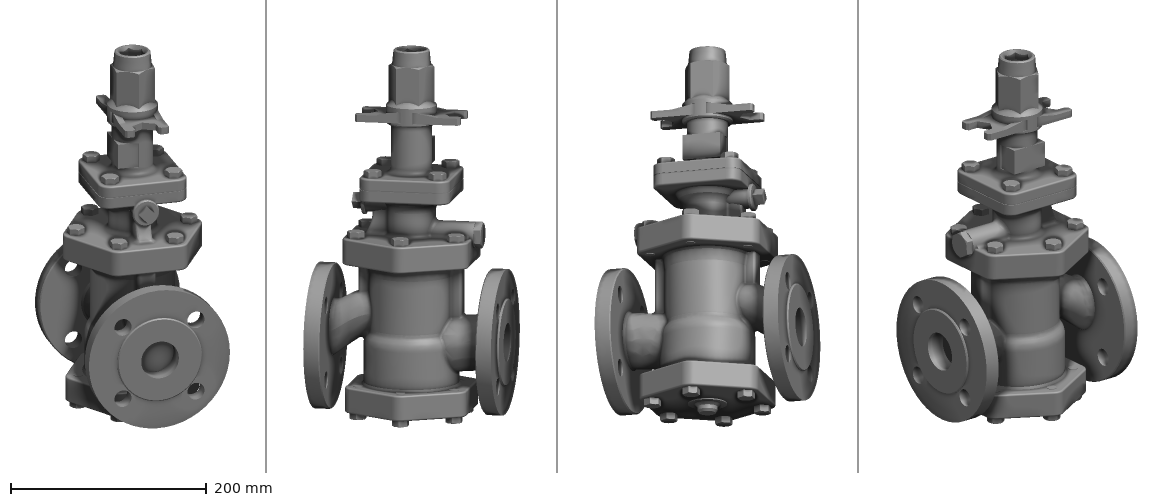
import cadquery as cq
import math


OVERLAP = 4.0

FACE_TO_FACE = 200.0
FLANGE_RADIUS = 75.0
FLANGE_BACK_X = 81.2
FLANGE_THICKNESS = 16.5
FLANGE_FACE_X = FLANGE_BACK_X + FLANGE_THICKNESS
RAISED_FACE_X = FACE_TO_FACE / 2
RAISED_FACE_RADIUS = 45.0
BORE_RADIUS = 20.0
BORE_DEPTH = 19.2
PIPE_BOLT_HOLE_DIAMETER = 18.0
PIPE_BOLT_OFFSET = 39.0
FLANGE_CHAMFER = 1.0
PIPE_OVERLAP = 2.0
INLET_RADIUS = 29.0
INLET_DROOP = 5.0
INLET_END_X = -25.0
INLET_ROOT_FLARE = 2.0
INLET_ROOT_X = -77.8

OUTLET_SECTIONS = [
    (FLANGE_BACK_X + PIPE_OVERLAP, 9.2, 26.0, 30.8),
    (76.2, 11.0, 23.5, 27.7),
    (65.5, 17.7, 23.0, 26.0),
    (52.0, 25.0, 23.0, 24.3),
    (25.0, 32.7, 23.0, 23.0),
]

BODY_RADIUS = 43.5
BODY_COLLAR_RADIUS = 45.0
BODY_BASE_RADIUS = 98.0 / 2
BODY_FLARE_BOTTOM_Z = 67.8
BODY_FLARE_TOP_Z = 79.5
BODY_STEP_TOP_Z = 12.0
BODY_STEP_BEND_Z = 6.0
BODY_STEP_BEND_RADIUS = 45.5
BODY_STEP_BOTTOM_Z = -5.8
PASSAGE_X = 54.0
PASSAGE_BOTTOM_Z = 17.5
PASSAGE_WIDTH = 19.2
PASSAGE_FILLET = 3.0
PIPE_FILLET = 3.0
PIPE_JOINT_REACH = 56.0
BARREL_HEAD_FLARE = 1.5
BARREL_FOOT_FLARE = 2.5

COVER_TOP_Z = 109.0
COVER_BOTTOM_Z = 81.5
COVER_HALF_WIDTH = 65.5
COVER_BOLT_CIRCLE = 60.0
BASE_TOP_Z = -46.2
BASE_BOTTOM_Z = -72.8
BASE_HALF_WIDTH = 63.0
BASE_BOLT_CIRCLE = 57.8
PLATE_CORNER_RADIUS = 12.5
PLATE_EDGE_FILLET = 2.0

BOLT_ACROSS_FLATS = 15.8
BOLT_HEAD_HEIGHT = 7.0
BOLT_END_RADIUS = 5.0
BOLT_END_HEIGHT = 0.58
COVER_BOLT_TURN = 0.0
BASE_BOLT_TURN = 30.0
PILOT_BOLT_TURN = 15.0

NECK_RADIUS = 25.0
NECK_FLARE_Z = 134.8
NECK_BEND_RADIUS = 29.5
NECK_BEND_Z = 143.2
NECK_TOP_RADIUS = 33.0
PILOT_BOTTOM_Z = 149.0
PILOT_JOINT_Z = 161.7
PILOT_TOP_Z = 173.5
PILOT_HALF_WIDTH = 47.0
PILOT_CORNER_RADIUS = 12.7
PILOT_BOLT_OFFSET = 34.0
JOINT_GAP = 1.0
JOINT_DEPTH = 0.8

PORT_Z = 111.0
PORT_RADIUS = 13.5
PORT_CAP_X = -67.0
PORT_END_X = -74.5
PORT_CAP_ACROSS_FLATS = 24.3
PORT_FILLET = 4.5
PORT_FILLET_START_X = -62.5
SEAT_END_X = 61.5
SEAT_HALF_WIDTH = 34.5
PLUG_Z = 142.0
PLUG_BOSS_RADIUS = 11.0
PLUG_DISC_RADIUS = 28.0 / 2
PLUG_DISC_X = 47.0
PLUG_DISC_END_X = 50.5
PLUG_END_X = 61.0
PLUG_SQUARE = 12.0
WEB_WIDTH = 17.0
WEB_FILLET = 2.7
WEB_TOP_X = 39.3
WEB_TOP_Z = 132.5
WEB_MIDDLE_X = 41.5
WEB_MIDDLE_Z = 120.0
WEB_BOTTOM_X = 47.7

STEM_RADIUS = 21.0
STEM_FOOT_FILLET = 5.8
BLOCK_BOTTOM_Z = 182.0
BLOCK_TOP_Z = 208.3
BLOCK_HALF_WIDTH = 20.0
COLLAR_BOTTOM_Z = 224.5
COLLAR_TOP_Z = 244.0
COLLAR_RADIUS = 52.0 / 2
COLLAR_CHAMFER = 1.5
COLLAR_SHOULDER_RADIUS = 20.5
COLLAR_SHOULDER_Z = 250.0
HEX_BOTTOM_Z = 244.5
HEX_TOP_Z = 286.0
HEX_ACROSS_FLATS = 41.2
HEX_BEVEL = 2.0
TIP_TOP_Z = 302.0
TIP_BASE_RADIUS = 20.0
TIP_RADIUS = 18.5
SOCKET_ACROSS_FLATS = 24.0
SOCKET_DEPTH = 10.0
SOCKET_MOUTH_RADIUS = 15.8
TIP_CHAMFER = 1.0

HANDLE_HALF_LENGTH = 54.5
HANDLE_HALF_WIDTH = 23.5
HANDLE_BOTTOM_Z = 228.3
HANDLE_TOP_Z = 235.5
HANDLE_TIP_CHAMFER = 2.5
FORK_GAP = 25.0
FORK_ROOT_X = 34.5
RIB_WIDTH = 7.0
RIB_OUTER_X = 31.5
RIB_INNER_X = 6.0
RIB_TOP_Z = 240.2

DRAIN_PAD_RADIUS = 20.0
DRAIN_PAD_BOTTOM_Z = -74.0
DRAIN_RADIUS = 10.5
DRAIN_NECK_RADIUS = 13.5
DRAIN_NECK_Z = -76.5
DRAIN_STEP_Z = -80.5
DRAIN_END_RADIUS = 8.5
DRAIN_BOTTOM_Z = -83.0


def cylinder(radius, bottom, top, x=0.0, y=0.0):
    """Upright round bar between two heights."""
    return cq.Workplane("XY", origin=(x, y, bottom)).circle(radius).extrude(top - bottom)


def bar_along_x(radius, start, end, z=0.0):
    """Round bar lying along X between two X positions."""
    return cq.Workplane("YZ", origin=(start, 0, z)).circle(radius).extrude(end - start)


def hexagon(across_flats, bottom, top):
    """Upright hexagonal bar with corners on the X axis."""
    across_corners = across_flats / math.cos(math.pi / 6)
    return cq.Workplane("XY", origin=(0, 0, bottom)).polygon(6, across_corners).extrude(top - bottom)


def box(x_min, x_max, y_min, y_max, z_min, z_max):
    """Block given by its limits."""
    size = (x_max - x_min, y_max - y_min, z_max - z_min)
    return cq.Workplane("XY").box(*size, centered=False).translate((x_min, y_min, z_min))


def spun(profile):
    """Solid of revolution about Z from a closed (radius, height) profile."""
    return cq.Workplane("XZ").polyline(profile).close().revolve(360, (0, 0, 0), (0, 1, 0))


def rounded_hexagon_head(across_flats, height):
    """Hexagonal head whose free end, at Z = height, is bevelled to a circle."""
    corner = across_flats / math.sqrt(3)
    flat = across_flats / 2
    bevel = (corner - flat) * math.tan(math.pi / 6)
    envelope = spun([(0, 0), (corner, 0), (corner, height - bevel), (flat, height), (0, height)])
    return hexagon(across_flats, 0, height).intersect(envelope)


def bolt_head(turn):
    """Bolt head standing on Z = 0, turned about its axis by the given degrees."""
    head = rounded_hexagon_head(BOLT_ACROSS_FLATS, BOLT_HEAD_HEIGHT)
    return head.rotate((0, 0, 0), (0, 0, 1), turn)


def hexagon_bolt_places(bolt_circle):
    """Six places, two of them on the Y axis."""
    angles = [math.radians(30 + 60 * i) for i in range(6)]
    return [(bolt_circle * math.cos(a), bolt_circle * math.sin(a)) for a in angles]


def hexagonal_plate(half_width, bottom, top):
    """Hexagonal flange with flats facing +X and -X and rounded corners."""
    plate = hexagon(2 * half_width, bottom, top).rotate((0, 0, 0), (0, 0, 1), 30)
    plate = plate.edges("|Z").fillet(PLATE_CORNER_RADIUS)
    return plate.faces("<Z or >Z").edges().fillet(PLATE_EDGE_FILLET)


def main_body():
    """Stepped barrel with a vertical passage on the -X and +X sides."""
    barrel = (
        cq.Workplane("XZ")
        .moveTo(0, COVER_BOTTOM_Z + OVERLAP)
        .lineTo(BODY_COLLAR_RADIUS + BARREL_HEAD_FLARE, COVER_BOTTOM_Z + OVERLAP)
        .lineTo(BODY_COLLAR_RADIUS + BARREL_HEAD_FLARE, COVER_BOTTOM_Z)
        .lineTo(BODY_COLLAR_RADIUS, BODY_FLARE_TOP_Z)
        .lineTo(BODY_RADIUS, BODY_FLARE_BOTTOM_Z)
        .lineTo(BODY_RADIUS, BODY_STEP_TOP_Z)
        .tangentArcPoint((BODY_STEP_BEND_RADIUS, BODY_STEP_BEND_Z), relative=False)
        .tangentArcPoint((BODY_BASE_RADIUS, BODY_STEP_BOTTOM_Z), relative=False)
        .lineTo(BODY_BASE_RADIUS, BASE_TOP_Z + BARREL_FOOT_FLARE)
        .lineTo(BODY_BASE_RADIUS + BARREL_FOOT_FLARE, BASE_TOP_Z)
        .lineTo(BODY_BASE_RADIUS + BARREL_FOOT_FLARE, BASE_TOP_Z - OVERLAP)
        .lineTo(0, BASE_TOP_Z - OVERLAP)
        .close()
        .revolve(360, (0, 0, 0), (0, 1, 0))
    )
    for side in (-1, 1):
        passage = box(0, PASSAGE_X, -PASSAGE_WIDTH / 2, PASSAGE_WIDTH / 2,
                      PASSAGE_BOTTOM_Z, COVER_BOTTOM_Z + OVERLAP)
        passage = passage.edges("|Z and >X").fillet(PASSAGE_FILLET)
        if side < 0:
            passage = passage.mirror("YZ")
        barrel = barrel.union(passage)
    margin = 0.5
    reach_x = BODY_COLLAR_RADIUS + BARREL_HEAD_FLARE
    reach_y = PASSAGE_WIDTH / 2 + margin
    zone = cq.selectors.BoxSelector((-reach_x, -reach_y, PASSAGE_BOTTOM_Z + margin),
                                    (reach_x, reach_y, COVER_BOTTOM_Z + OVERLAP))
    roots = barrel.edges("(not #Z) and (not |X) and (not |Y)").edges(zone)
    return roots.fillet(PASSAGE_FILLET)


def barrel_with_pipes():
    """Barrel and both pipes with the joints between them rounded."""
    joined = main_body().union(inlet_pipe()).union(outlet_pipe())
    zone = cq.selectors.BoxSelector((-PIPE_JOINT_REACH, -PIPE_JOINT_REACH, -PIPE_JOINT_REACH),
                                    (PIPE_JOINT_REACH, PIPE_JOINT_REACH, PIPE_JOINT_REACH))
    joints = joined.edges("%BSPLINE").edges(zone)
    return joints.fillet(PIPE_FILLET)


def inlet_pipe():
    """Slightly drooping round pipe from the -X flange into the barrel, with a flared root."""
    start_x = -FLANGE_BACK_X - PIPE_OVERLAP
    pipe = (
        cq.Workplane("YZ", origin=(start_x, 0, 0)).circle(INLET_RADIUS)
        .workplane(offset=INLET_END_X - start_x).center(0, -INLET_DROOP).circle(INLET_RADIUS)
        .loft()
    )
    root = (
        cq.Workplane("YZ", origin=(-FLANGE_BACK_X, 0, 0)).circle(INLET_RADIUS + INLET_ROOT_FLARE)
        .workplane(offset=INLET_ROOT_X + FLANGE_BACK_X).circle(INLET_RADIUS - INLET_ROOT_FLARE / 2)
        .loft()
    )
    return pipe.union(root)


def outlet_pipe():
    """Oval pipe rising from the +X flange into the upper barrel."""
    outlines = []
    for x, z, half_width, half_height in OUTLET_SECTIONS:
        outline = cq.Workplane("YZ", origin=(x, 0, z)).ellipse(half_width, half_height)
        outlines.append(outline.wires().val())
    return cq.Workplane(cq.Solid.makeLoft(outlines))


def pipe_flange(side):
    """Round flange with raised face, bolt holes and blind bore; side is -1 or +1 along X."""
    disc = bar_along_x(FLANGE_RADIUS, FLANGE_BACK_X, FLANGE_FACE_X)
    disc = disc.faces("<X").edges().chamfer(FLANGE_CHAMFER)
    face = bar_along_x(RAISED_FACE_RADIUS, FLANGE_FACE_X - PIPE_OVERLAP, RAISED_FACE_X)
    face = face.faces(">X").edges().chamfer(FLANGE_CHAMFER)
    flange = disc.union(face)
    for y in (-PIPE_BOLT_OFFSET, PIPE_BOLT_OFFSET):
        for z in (-PIPE_BOLT_OFFSET, PIPE_BOLT_OFFSET):
            hole = bar_along_x(PIPE_BOLT_HOLE_DIAMETER / 2, FLANGE_BACK_X - OVERLAP, RAISED_FACE_X, z)
            flange = flange.cut(hole.translate((0, y, 0)))
    return flange if side > 0 else flange.mirror("YZ")


def cover_flange():
    """Upper hexagonal flange with heads above and bolt ends below."""
    flange = hexagonal_plate(COVER_HALF_WIDTH, COVER_BOTTOM_Z, COVER_TOP_Z)
    for x, y in hexagon_bolt_places(COVER_BOLT_CIRCLE):
        flange = flange.union(bolt_head(COVER_BOLT_TURN).translate((x, y, COVER_TOP_Z)))
        end_z = COVER_BOTTOM_Z - BOLT_END_HEIGHT
        flange = flange.union(cylinder(BOLT_END_RADIUS, end_z, COVER_BOTTOM_Z + OVERLAP, x, y))
    return flange


def base_flange():
    """Lower hexagonal flange with heads below and bolt ends above, and the drain plug."""
    flange = hexagonal_plate(BASE_HALF_WIDTH, BASE_BOTTOM_Z, BASE_TOP_Z)
    for x, y in hexagon_bolt_places(BASE_BOLT_CIRCLE):
        head = bolt_head(BASE_BOLT_TURN).mirror("XY")
        flange = flange.union(head.translate((x, y, BASE_BOTTOM_Z)))
        end_z = BASE_TOP_Z + BOLT_END_HEIGHT
        flange = flange.union(cylinder(BOLT_END_RADIUS, BASE_TOP_Z - OVERLAP, end_z, x, y))
    drain = spun([
        (0, BASE_BOTTOM_Z + OVERLAP), (DRAIN_PAD_RADIUS, BASE_BOTTOM_Z + OVERLAP),
        (DRAIN_PAD_RADIUS, DRAIN_PAD_BOTTOM_Z), (DRAIN_NECK_RADIUS, DRAIN_PAD_BOTTOM_Z),
        (DRAIN_RADIUS, DRAIN_NECK_Z), (DRAIN_RADIUS, DRAIN_STEP_Z),
        (DRAIN_END_RADIUS, DRAIN_BOTTOM_Z), (0, DRAIN_BOTTOM_Z),
    ])
    return flange.union(drain)


def pilot_neck():
    """Round neck flaring into the square flange, joined to the cover by the port and the web."""
    neck = (
        cq.Workplane("XZ")
        .moveTo(0, COVER_TOP_Z - OVERLAP)
        .lineTo(NECK_RADIUS, COVER_TOP_Z - OVERLAP)
        .lineTo(NECK_RADIUS, NECK_FLARE_Z)
        .tangentArcPoint((NECK_BEND_RADIUS, NECK_BEND_Z), relative=False)
        .lineTo(NECK_TOP_RADIUS, PILOT_BOTTOM_Z)
        .lineTo(NECK_TOP_RADIUS, PILOT_BOTTOM_Z + OVERLAP)
        .lineTo(0, PILOT_BOTTOM_Z + OVERLAP)
        .close()
        .revolve(360, (0, 0, 0), (0, 1, 0))
    )
    seat = box(PORT_FILLET_START_X, SEAT_END_X, -SEAT_HALF_WIDTH, SEAT_HALF_WIDTH,
               COVER_TOP_Z - OVERLAP, COVER_TOP_Z)
    port = bar_along_x(PORT_RADIUS, PORT_FILLET_START_X, 0, PORT_Z)
    joined = neck.union(port).union(web()).union(seat)
    margin = 0.5
    crown_z = PORT_Z + PORT_RADIUS
    zone = cq.selectors.BoxSelector(
        (PORT_FILLET_START_X + margin, -SEAT_HALF_WIDTH + margin, COVER_TOP_Z - margin),
        (WEB_TOP_X - WEB_FILLET, SEAT_HALF_WIDTH - margin, crown_z + margin))
    return joined.edges(zone).fillet(PORT_FILLET)


def web():
    """Upright web carrying the plug boss, with a hollow, rounded outer edge."""
    plate = (
        cq.Workplane("XZ", origin=(0, WEB_WIDTH / 2, 0))
        .moveTo(0, COVER_TOP_Z - OVERLAP)
        .lineTo(WEB_BOTTOM_X, COVER_TOP_Z - OVERLAP)
        .lineTo(WEB_BOTTOM_X, COVER_TOP_Z)
        .threePointArc((WEB_MIDDLE_X, WEB_MIDDLE_Z), (WEB_TOP_X, WEB_TOP_Z))
        .lineTo(0, PLUG_Z)
        .close()
        .extrude(WEB_WIDTH)
    )
    return plate.edges("%CIRCLE").fillet(WEB_FILLET)


def sensing_port():
    """Round side port towards -X with a hexagonal cap, half sunk in the cover."""
    port = bar_along_x(PORT_RADIUS, PORT_CAP_X, 0, PORT_Z)
    cap = rounded_hexagon_head(PORT_CAP_ACROSS_FLATS, PORT_CAP_X - PORT_END_X)
    cap = cap.rotate((0, 0, 0), (0, 1, 0), -90).translate((PORT_CAP_X, 0, PORT_Z))
    return port.union(cap)


def plug_port():
    """Round boss towards +X closed by a square-headed plug standing on its corner."""
    boss = bar_along_x(PLUG_BOSS_RADIUS, 0, PLUG_DISC_X, PLUG_Z)
    disc = bar_along_x(PLUG_DISC_RADIUS, PLUG_DISC_X, PLUG_DISC_END_X, PLUG_Z)
    disc = disc.faces(">X").edges().chamfer(FLANGE_CHAMFER)
    plug = cq.Workplane("YZ").rect(PLUG_SQUARE, PLUG_SQUARE).extrude(PLUG_END_X)
    plug = plug.rotate((0, 0, 0), (1, 0, 0), 45).translate((0, 0, PLUG_Z))
    return boss.union(disc).union(plug)


def pilot_flange():
    """Square flange, split by a thin joint, with four bolts."""
    flange = box(-PILOT_HALF_WIDTH, PILOT_HALF_WIDTH, -PILOT_HALF_WIDTH, PILOT_HALF_WIDTH,
                 PILOT_BOTTOM_Z, PILOT_TOP_Z)
    flange = flange.edges("|Z").fillet(PILOT_CORNER_RADIUS)
    flange = flange.faces("<Z or >Z").edges().fillet(PLATE_EDGE_FILLET)
    outline = (
        cq.Workplane("XY", origin=(0, 0, PILOT_JOINT_Z - JOINT_GAP / 2))
        .rect(3 * PILOT_HALF_WIDTH, 3 * PILOT_HALF_WIDTH).extrude(JOINT_GAP)
    )
    core_width = 2 * (PILOT_HALF_WIDTH - JOINT_DEPTH)
    core = (
        cq.Workplane("XY", origin=(0, 0, PILOT_JOINT_Z - JOINT_GAP / 2))
        .rect(core_width, core_width).extrude(JOINT_GAP)
        .edges("|Z").fillet(PILOT_CORNER_RADIUS - JOINT_DEPTH)
    )
    flange = flange.cut(outline.cut(core))
    for x in (-PILOT_BOLT_OFFSET, PILOT_BOLT_OFFSET):
        for y in (-PILOT_BOLT_OFFSET, PILOT_BOLT_OFFSET):
            flange = flange.union(bolt_head(PILOT_BOLT_TURN).translate((x, y, PILOT_TOP_Z)))
    return flange


def spindle():
    """Stem with wrench block, collar, hexagon and socketed tip."""
    hex_corner = HEX_ACROSS_FLATS / math.sqrt(3)
    foot_radius = STEM_RADIUS + STEM_FOOT_FILLET
    arc_offset = STEM_FOOT_FILLET * (1 - math.sqrt(0.5))
    foot = (
        cq.Workplane("XZ")
        .moveTo(0, PILOT_TOP_Z - OVERLAP)
        .lineTo(foot_radius, PILOT_TOP_Z - OVERLAP)
        .lineTo(foot_radius, PILOT_TOP_Z)
        .threePointArc((STEM_RADIUS + arc_offset, PILOT_TOP_Z + arc_offset),
                       (STEM_RADIUS, PILOT_TOP_Z + STEM_FOOT_FILLET))
        .lineTo(0, PILOT_TOP_Z + STEM_FOOT_FILLET)
        .close()
        .revolve(360, (0, 0, 0), (0, 1, 0))
    )
    stem = cylinder(STEM_RADIUS, PILOT_TOP_Z, COLLAR_BOTTOM_Z)
    collar = spun([
        (0, COLLAR_BOTTOM_Z), (COLLAR_RADIUS - COLLAR_CHAMFER, COLLAR_BOTTOM_Z),
        (COLLAR_RADIUS, COLLAR_BOTTOM_Z + COLLAR_CHAMFER), (COLLAR_RADIUS, COLLAR_TOP_Z),
        (COLLAR_SHOULDER_RADIUS, COLLAR_SHOULDER_Z), (0, COLLAR_SHOULDER_Z),
    ])
    beside_block = box(-2 * STEM_RADIUS, 2 * STEM_RADIUS, -2 * STEM_RADIUS, 0, BLOCK_BOTTOM_Z, BLOCK_TOP_Z)
    block = box(-BLOCK_HALF_WIDTH, BLOCK_HALF_WIDTH, -STEM_RADIUS, 0, BLOCK_BOTTOM_Z, BLOCK_TOP_Z)
    nut_envelope = spun([
        (0, HEX_BOTTOM_Z), (hex_corner, HEX_BOTTOM_Z), (hex_corner, HEX_TOP_Z - HEX_BEVEL),
        (HEX_ACROSS_FLATS / 2, HEX_TOP_Z), (0, HEX_TOP_Z),
    ])
    nut = hexagon(HEX_ACROSS_FLATS, HEX_BOTTOM_Z, HEX_TOP_Z).intersect(nut_envelope)
    tip = spun([
        (0, HEX_TOP_Z - OVERLAP), (TIP_BASE_RADIUS, HEX_TOP_Z - OVERLAP), (TIP_BASE_RADIUS, HEX_TOP_Z),
        (TIP_RADIUS, TIP_TOP_Z - TIP_CHAMFER), (TIP_RADIUS - TIP_CHAMFER, TIP_TOP_Z), (0, TIP_TOP_Z),
    ])
    socket = hexagon(SOCKET_ACROSS_FLATS, TIP_TOP_Z - SOCKET_DEPTH, TIP_TOP_Z)
    socket_flat = SOCKET_ACROSS_FLATS / 2
    mouth_depth = SOCKET_MOUTH_RADIUS - socket_flat
    mouth = spun([
        (0, TIP_TOP_Z - mouth_depth), (socket_flat, TIP_TOP_Z - mouth_depth),
        (SOCKET_MOUTH_RADIUS, TIP_TOP_Z), (0, TIP_TOP_Z),
    ])
    lower_stem = foot.union(stem).cut(beside_block).union(block)
    return lower_stem.union(collar).union(nut).union(tip).cut(socket).cut(mouth)


def handle():
    """Flat double-ended fork with four tapered edge ribs."""
    plate = box(-HANDLE_HALF_LENGTH, HANDLE_HALF_LENGTH, -HANDLE_HALF_WIDTH, HANDLE_HALF_WIDTH,
                HANDLE_BOTTOM_Z, HANDLE_TOP_Z)
    half_gap = FORK_GAP / 2
    mouth_x = HANDLE_HALF_LENGTH + OVERLAP
    shoulder_x = FORK_ROOT_X + half_gap * math.tan(math.pi / 6)
    for side in (-1, 1):
        fork = (
            cq.Workplane("XY", origin=(0, 0, HANDLE_BOTTOM_Z))
            .polyline([
                (side * FORK_ROOT_X, 0), (side * shoulder_x, half_gap), (side * mouth_x, half_gap),
                (side * mouth_x, -half_gap), (side * shoulder_x, -half_gap),
            ])
            .close().extrude(HANDLE_TOP_Z - HANDLE_BOTTOM_Z)
        )
        plate = plate.cut(fork)
    plate = plate.edges("|Z and (<X or >X)").chamfer(HANDLE_TIP_CHAMFER)
    for side in (-1, 1):
        for y in (HANDLE_HALF_WIDTH, RIB_WIDTH - HANDLE_HALF_WIDTH):
            rib = (
                cq.Workplane("XZ", origin=(0, y, 0))
                .polyline([
                    (side * RIB_INNER_X, HANDLE_BOTTOM_Z), (side * RIB_OUTER_X, HANDLE_BOTTOM_Z),
                    (side * RIB_OUTER_X, HANDLE_TOP_Z), (side * RIB_INNER_X, RIB_TOP_Z),
                ])
                .close().extrude(RIB_WIDTH)
            )
            plate = plate.union(rib)
    return plate


def collar_reliefs():
    """Cutters that trim the collar flush with the handle sides, leaving a narrow key in the middle."""
    depth = COLLAR_RADIUS
    cutters = []
    for x_min, x_max in ((-RIB_OUTER_X, -RIB_INNER_X), (RIB_INNER_X, RIB_OUTER_X)):
        for y_min in (-HANDLE_HALF_WIDTH - depth, HANDLE_HALF_WIDTH):
            cutters.append(box(x_min, x_max, y_min, y_min + depth, HANDLE_BOTTOM_Z, RIB_TOP_Z))
    return cutters


lower = barrel_with_pipes().union(cover_flange()).union(base_flange())
for side in (-1, 1):
    lower = lower.union(pipe_flange(side))
    bore = bar_along_x(BORE_RADIUS, RAISED_FACE_X - BORE_DEPTH, RAISED_FACE_X)
    lower = lower.cut(bore if side > 0 else bore.mirror("YZ"))

pilot = pilot_neck().union(sensing_port()).union(plug_port()).union(pilot_flange())
top = spindle()
for cutter in collar_reliefs():
    top = top.cut(cutter)
top = top.union(handle())

result = lower.union(pilot).union(top)